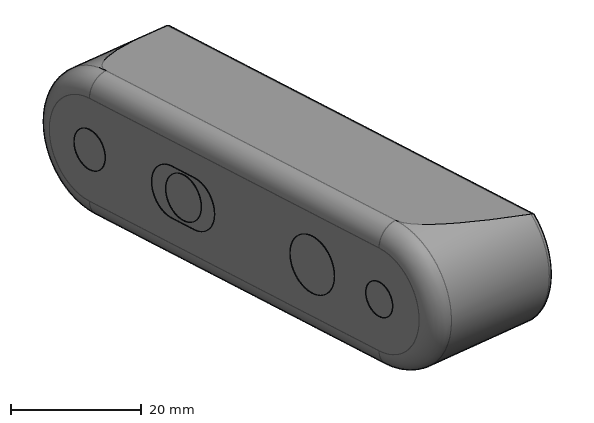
import cadquery as cq
import math

length = 90.0
height = 25.0
depth = 25.0
end_radius = height / 2
end_center_x = length / 2 - end_radius
front_y = -depth / 2
back_y = depth / 2

front_fillet = 3.5
back_fillet = 1.0
taper_angle = 9.0

recess_depth = 0.1
left_window_diameter = 7.0
right_window_diameter = 6.0
large_window_diameter = 10.0
large_window_x = 17.5
oblong_length = 14.1
oblong_height = 9.1
oblong_x = -11.5
oblong_lens_diameter = 8.0


def front_plane(inset=0.0):
    """Sketch plane on the front face, moved into the body by inset; its normal is -Y."""
    return cq.Workplane("XZ", origin=(0, front_y + inset, 0))


def make_body():
    """Stadium block with a rounded front rim."""
    block = front_plane().slot2D(length, height).extrude(-depth)
    return block.faces("<Y").edges().fillet(front_fillet)


def make_taper_cutter():
    """Wedge that slopes the upper side inward from the front rounding to the back."""
    start_y = front_y + front_fillet
    drop = (back_y - start_y) * math.tan(math.radians(taper_angle))
    return (
        cq.Workplane("YZ")
        .moveTo(start_y, height / 2)
        .lineTo(back_y, height / 2 - drop)
        .lineTo(back_y, height / 2)
        .close()
        .extrude(length / 2, both=True)
    )


def make_round_recess(x, diameter, inset=0.0):
    """Disc to remove, starting at the given inset behind the front face."""
    return front_plane(inset).center(x, 0).circle(diameter / 2).extrude(-recess_depth)


body = make_body()

upper_cutter = make_taper_cutter()
body = body.cut(upper_cutter).cut(upper_cutter.mirror("XY"))
body = body.faces(">Y").edges().fillet(back_fillet)

round_windows = [
    (-end_center_x, left_window_diameter),
    (large_window_x, large_window_diameter),
    (end_center_x, right_window_diameter),
]
for window_x, window_diameter in round_windows:
    body = body.cut(make_round_recess(window_x, window_diameter))

oblong = front_plane().center(oblong_x, 0).slot2D(oblong_length, oblong_height).extrude(-recess_depth)
body = body.cut(oblong)
body = body.cut(make_round_recess(oblong_x, oblong_lens_diameter, inset=recess_depth))

result = body